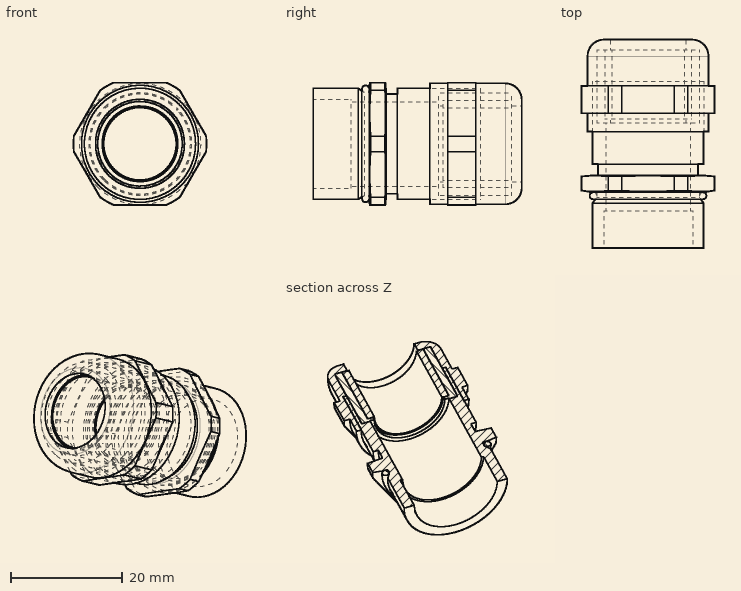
import cadquery as cq
import math


total_length = 37.5
hex_across_flats = 22.0
hex_corner_diameter = 23.95

bore_step_y = 6.7
entry_thread_end_y = 8.1
flange_front_y = 10.05
flange_back_y = 13.12
neck_end_y = 15.1
cage_seat_y = 22.5
housing_end_y = 30.0

thread_diameter = 20.0
undercut_diameter = 18.5
neck_diameter = 18.0
entry_bore_diameter = 16.0
inner_bore_diameter = 15.2
undercut_chamfer_length = 1.1

flange_front_ring_diameter = 20.48
flange_front_drop = 0.3
flange_back_ring_diameter = 19.12
flange_back_drop = 0.22

o_ring_section_diameter = 1.28

cap_diameter = 21.8
cap_start_y = 20.95
cap_hex_start_y = 24.22
cap_hex_end_y = 29.18
cap_roof_y = 35.62
cap_edge_radius = 3.0

cage_diameter = 18.4
cage_floor_thickness = 0.75
cage_opening_diameter = 13.6
seal_diameter = 15.6
seal_bore_diameter = 13.0


def cylinder(diameter, start_y, end_y):
    """Solid cylinder on the Y axis."""
    return (
        cq.Workplane("XZ", origin=(0, start_y, 0))
        .circle(diameter / 2)
        .extrude(start_y - end_y)
    )


def revolve_profile(points):
    """Turn a closed (radius, y) profile about the Y axis."""
    return cq.Workplane("XY").polyline(points).close().revolve(360, (0, 0, 0), (0, 1, 0))


def hex_prism(start_y, end_y):
    """Hexagon with flats facing +Z and -Z and its corners turned round."""
    across_corners = hex_across_flats / math.cos(math.radians(30))
    prism = (
        cq.Workplane("XZ", origin=(0, start_y, 0))
        .polygon(6, across_corners)
        .extrude(start_y - end_y)
    )
    return prism.intersect(cylinder(hex_corner_diameter, start_y, end_y))


def make_flange():
    corner_radius = hex_corner_diameter / 2
    envelope = revolve_profile([
        (0, flange_front_y),
        (flange_front_ring_diameter / 2, flange_front_y),
        (corner_radius, flange_front_y + flange_front_drop),
        (corner_radius, flange_back_y - flange_back_drop),
        (flange_back_ring_diameter / 2, flange_back_y),
        (0, flange_back_y),
    ])
    return hex_prism(flange_front_y, flange_back_y).intersect(envelope)


def make_housing():
    thread_radius = thread_diameter / 2
    undercut_radius = undercut_diameter / 2
    neck_radius = neck_diameter / 2
    barrel = revolve_profile([
        (0, 0),
        (thread_radius, 0),
        (thread_radius, entry_thread_end_y),
        (undercut_radius, entry_thread_end_y + undercut_chamfer_length),
        (undercut_radius, flange_front_y),
        (neck_radius, flange_front_y),
        (neck_radius, neck_end_y),
        (thread_radius, neck_end_y),
        (thread_radius, housing_end_y),
        (0, housing_end_y),
    ])
    return (
        barrel.union(make_flange())
        .cut(cylinder(entry_bore_diameter, 0, bore_step_y))
        .cut(cylinder(inner_bore_diameter, bore_step_y, cage_seat_y))
        .cut(cylinder(cage_diameter, cage_seat_y, housing_end_y))
    )


def make_o_ring():
    section_radius = o_ring_section_diameter / 2
    ring_radius = undercut_diameter / 2 + section_radius
    return (
        cq.Workplane("XY")
        .center(ring_radius, flange_front_y - section_radius)
        .circle(section_radius)
        .revolve(360, (-ring_radius, 0, 0), (-ring_radius, 1, 0))
    )


def make_cap():
    shell = cylinder(cap_diameter, cap_start_y, total_length).faces(">Y").edges().fillet(cap_edge_radius)
    return (
        shell.union(hex_prism(cap_hex_start_y, cap_hex_end_y))
        .cut(cylinder(thread_diameter, cap_start_y, housing_end_y))
        .cut(cylinder(cage_diameter, housing_end_y, cap_roof_y))
        .cut(cylinder(cage_opening_diameter, cap_roof_y, total_length))
    )


def make_cage():
    floor_top_y = cage_seat_y + cage_floor_thickness
    return (
        cylinder(cage_diameter, cage_seat_y, cap_roof_y)
        .cut(cylinder(cage_opening_diameter, cage_seat_y, floor_top_y))
        .cut(cylinder(seal_diameter, floor_top_y, cap_roof_y))
    )


def make_seal():
    start_y = cage_seat_y + cage_floor_thickness
    return cylinder(seal_diameter, start_y, cap_roof_y).cut(
        cylinder(seal_bore_diameter, start_y, cap_roof_y)
    )


housing = make_housing()
o_ring = make_o_ring()
cap = make_cap()
cage = make_cage()
seal = make_seal()

result = cq.Compound.makeCompound([
    housing.solids().val(),
    o_ring.solids().val(),
    cap.solids().val(),
    cage.solids().val(),
    seal.solids().val(),
])